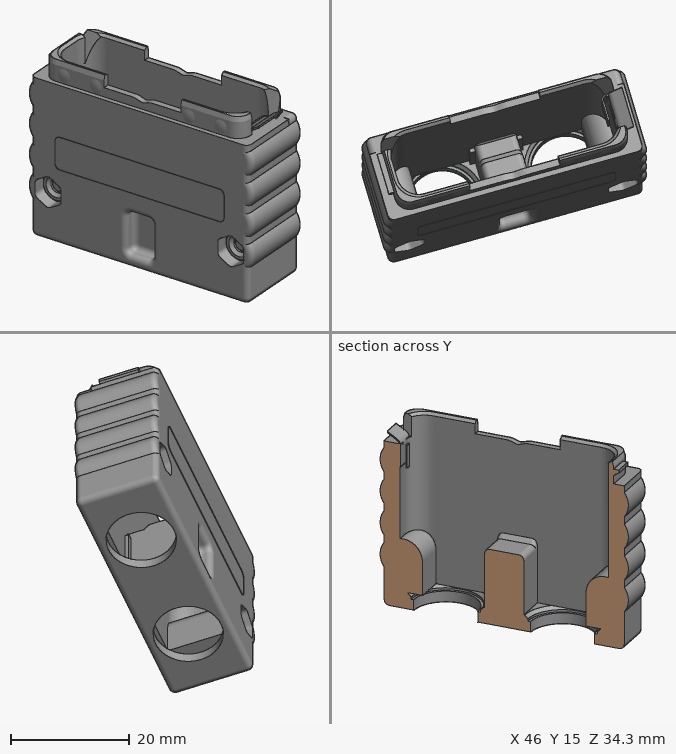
import cadquery as cq
import math

total_length = 46.02
body_length = 44.5
body_depth = 15.0
body_height = 30.25
total_height = 34.3
edge_radius = 1.05
back_rounding = 2.94

front_y = -body_depth / 2
back_y = body_depth / 2

rib_radius = 3.75
rib_count = 4
rib_pitch = 5.84
lowest_rib_z = 9.24

collar_length = 40.6
collar_depth = 13.2
collar_corner = 2.55
collar_chamfer_width = 0.28
collar_chamfer_height = 0.95
collar_low_z = 32.0
collar_low_half = 7.87
dip_half = 2.17
dip_depth = 0.47

cavity_length = 38.4
cavity_depth = 10.8
cavity_corner = 3.6
flare_width = 0.55
flare_height = 0.45
floor_z = 3.0

notch_front_y = 3.53
notch_apex_z = 28.9
window_front_y = -3.55

bump_radius = 1.27
bump_height = 0.19
bump_z = 31.72
bump_x = [-16.04, -9.49, 9.49, 16.04]

ledge_reach = 0.93
ledge_top_z = 32.97
ledge_edge_z = 32.37
ledge_bottom_z = 31.75
ledge_root = 0.5
leaf_thickness = 0.3
leaf_inner_x = 19.1
leaf_tip_x = 21.63
leaf_tip_z = 32.15
leaf_slope = 31.0
leaf_bottom_z = 26.0
leaf_bend_radius = 1.2
return_x = 17.9
return_front_y = -0.9
return_top_z = 30.2
return_bend_radius = 0.5

cable_radius = 5.9
cable_x = 10.8
cable_seat_radius = 6.4
cable_seat_depth = 1.0
cable_lead_in = 0.6
hump_half = 3.67
hump_rounding = 1.0
hump_back_z = 13.0
hump_front_z = 13.9
hump_slope_y = 1.67
hump_front_ramp = 0.8
hump_back_ramp = 0.3
hump_flange_half = 4.6
hump_flange_thickness = 0.7
hump_flange_z = 11.0

nut_x = 18.7
nut_z = lowest_rib_z
nut_flats = 5.3
nut_corner = 1.0
nut_pocket_depth = 2.8
nut_rim_height = 0.5
nut_rim_radius = 2.5
thread_mouth_radius = 2.0
thread_radius = 1.4
thread_mouth_depth = 0.6
screw_tip_radius = 1.0
screw_tip_height = 0.4
boss_radius = 3.6

label_length = 34.6
label_height = 6.2
label_corner = 1.0
label_z = 17.27
label_depth = 0.1

pocket_width = 5.4
pocket_low_z = 2.2
pocket_high_z = 10.35
pocket_depth = 2.5
pocket_floor_radius = 1.0
pocket_corner = 1.05
pocket_rim_radius = 1.04

big = 100.0
near = 0.05
overlap = 1.0


def box(x0, x1, y0, y1, z0, z1):
    """Axis-aligned box between two opposite corners."""
    size = (x1 - x0, y1 - y0, z1 - z0)
    return cq.Workplane("XY").box(*size, centered=False).translate((x0, y0, z0))


def front_plane(x, y, z):
    """Sketch plane facing -Y (plane x is +X, plane y is +Z) with its origin at a point."""
    return cq.Workplane(cq.Plane(origin=(x, y, z), xDir=(1, 0, 0), normal=(0, -1, 0)))


def cone_y(x, z, y0, radius0, y1, radius1):
    """Cone frustum about a Y axis, radius0 at y0 and radius1 at y1 (y1 above y0)."""
    cone = cq.Solid.makeCone(radius0, radius1, y1 - y0, cq.Vector(x, y0, z), cq.Vector(0, 1, 0))
    return cq.Workplane(cone)


def cylinder_y(x, z, y0, y1, radius):
    """Cylinder about a Y axis from y0 to y1."""
    tube = cq.Solid.makeCylinder(radius, y1 - y0, cq.Vector(x, y0, z), cq.Vector(0, 1, 0))
    return cq.Workplane(tube)


def make_body():
    """Rounded block with grip ribs; its top edges are rounded only towards the back."""
    half = body_length / 2
    block = box(-half, half, front_y, back_y, 0, body_height)
    rounded = block.edges().fillet(edge_radius)
    sharp_top = block.edges("|Z or <Z").fillet(edge_radius)
    sharp_top = sharp_top.cut(box(-big, big, back_y - back_rounding, big, -big, big))
    body = rounded.union(sharp_top)
    rib_root_x = half - edge_radius
    rib_x = total_length / 2 - rib_radius
    for i in range(rib_count):
        rib_z = lowest_rib_z + i * rib_pitch
        for side in (-1, 1):
            rib = cylinder_y(side * rib_x, rib_z, front_y, back_y, rib_radius)
            rib = rib.edges("%CIRCLE").fillet(edge_radius)
            body = body.union(rib.cut(box(-rib_root_x, rib_root_x, -big, big, -big, big)))
    return body


def make_collar():
    """Solid collar block with dome bumps on both long sides."""
    base = cq.Workplane("XY").workplane(offset=body_height - overlap)
    collar = base.rect(collar_length, collar_depth).extrude(total_height - body_height + overlap)
    collar = collar.edges("|Z").fillet(collar_corner)
    collar = collar.faces(">Z").chamfer(collar_chamfer_height, collar_chamfer_width)
    bump_sphere = (bump_radius**2 + bump_height**2) / (2 * bump_height)
    bump_center_y = collar_depth / 2 + bump_height - bump_sphere
    for x in bump_x:
        for side in (-1, 1):
            dome = cq.Workplane("XY").sphere(bump_sphere).translate((x, side * bump_center_y, bump_z))
            reach = sorted((side * collar_depth / 4, side * collar_depth))
            disc = cylinder_y(x, bump_z, reach[0], reach[1], bump_radius)
            collar = collar.union(dome.intersect(disc))
    return collar


def make_cavity():
    """Inner space, with a lead-in flare at the top of the collar."""
    base = cq.Workplane("XY").workplane(offset=floor_z)
    core = base.rect(cavity_length, cavity_depth).extrude(total_height - floor_z)
    core = core.edges("|Z").fillet(cavity_corner)
    flare_angle = math.degrees(math.atan2(flare_width, flare_height))
    flare = (
        cq.Workplane("XY")
        .workplane(offset=total_height - flare_height)
        .sketch()
        .rect(cavity_length, cavity_depth)
        .vertices()
        .fillet(cavity_corner)
        .finalize()
        .extrude(flare_height, taper=-flare_angle)
    )
    return core.union(flare)


def collar_middle_cut():
    """Lowered middle of both long collar sides, with a shallow smooth dip."""
    profile = (
        front_plane(0, big / 2, 0)
        .moveTo(-collar_low_half, total_height + overlap)
        .lineTo(-collar_low_half, collar_low_z)
        .lineTo(-dip_half, collar_low_z)
        .spline(
            [(0, collar_low_z - dip_depth), (dip_half, collar_low_z)],
            tangents=[(1, 0), (1, 0)],
            includeCurrent=True,
        )
        .lineTo(collar_low_half, collar_low_z)
        .lineTo(collar_low_half, total_height + overlap)
        .close()
    )
    return profile.extrude(big)


def collar_end_notches():
    """Slanted gap at the back of both ends, and the window for the spring leaf."""
    slant_top_y = cavity_depth / 2
    gap = (
        cq.Workplane("YZ")
        .polyline([
            (notch_front_y, notch_apex_z),
            (slant_top_y, total_height),
            (notch_front_y, total_height),
        ])
        .close()
        .extrude(collar_length / 2, both=True)
    )
    inner_x = cavity_length / 2 - cavity_corner
    gap = gap.cut(box(-inner_x, inner_x, -big, big, -big, big))
    window = box(inner_x, big, window_front_y, notch_front_y, body_height, big)
    return gap.union(window)


def make_ledge():
    """Small wedge-shaped ledge on the left collar end."""
    wall_x = -collar_length / 2
    profile = front_plane(0, notch_front_y, 0).polyline([
        (wall_x + ledge_root, ledge_top_z),
        (wall_x - ledge_reach, ledge_top_z),
        (wall_x - ledge_reach, ledge_edge_z),
        (wall_x, ledge_bottom_z),
        (wall_x + ledge_root, ledge_bottom_z),
    ]).close()
    return profile.extrude(notch_front_y - window_front_y)


def make_leaf():
    """Sheet spring on the right end wall, bent outwards over the window."""
    slope = math.radians(leaf_slope)
    run = leaf_tip_x - leaf_inner_x
    path_start_z = leaf_tip_z - run * math.tan(slope)
    rise = leaf_thickness / math.cos(slope)
    outer_x = leaf_inner_x + leaf_thickness
    under_z = path_start_z - rise + leaf_thickness * math.tan(slope)
    profile = front_plane(0, notch_front_y, 0).polyline([
        (leaf_inner_x, leaf_bottom_z),
        (leaf_inner_x, path_start_z),
        (leaf_tip_x, leaf_tip_z),
        (leaf_tip_x, leaf_tip_z - rise),
        (outer_x, under_z),
        (outer_x, leaf_bottom_z),
    ]).close()
    leaf = profile.extrude(notch_front_y - window_front_y)
    outer_bend_radius = leaf_bend_radius + leaf_thickness
    leaf = leaf.edges("|Y").edges(bend_edge(leaf_inner_x, path_start_z)).fillet(outer_bend_radius)
    leaf = leaf.edges("|Y").edges(bend_edge(outer_x, under_z)).fillet(leaf_bend_radius)
    return leaf.union(make_leaf_return())


def bend_edge(x, z):
    """Selector for the Y-parallel leaf edge at one bend corner."""
    return cq.selectors.BoxSelector((x - near, -big, z - near), (x + near, big, z + near))


def make_leaf_return():
    """Short plate folded back from the rear edge of the spring leaf."""
    outer = box(
        return_x,
        leaf_inner_x + leaf_thickness,
        return_front_y,
        notch_front_y,
        leaf_bottom_z,
        return_top_z,
    )
    outer = outer.edges("|Z and <X and >Y").fillet(return_bend_radius + leaf_thickness)
    inner = box(
        return_x + leaf_thickness,
        leaf_inner_x,
        return_front_y,
        notch_front_y - leaf_thickness,
        leaf_bottom_z,
        return_top_z,
    )
    return outer.cut(inner.edges("|Z and <X and >Y").fillet(return_bend_radius))


def make_hump():
    """Stepped hump between the cable holes, higher at the front."""
    back_wall_y = cavity_depth / 2
    front_wall_y = -back_wall_y
    step = hump_front_z - hump_back_z
    profile = (
        cq.Workplane("YZ")
        .workplane(offset=-hump_half)
        .polyline([
            (front_wall_y - overlap, floor_z),
            (front_wall_y - overlap, hump_front_z + hump_front_ramp + overlap),
            (front_wall_y + hump_front_ramp, hump_front_z),
            (hump_slope_y, hump_front_z),
            (hump_slope_y + step, hump_back_z),
            (back_wall_y - hump_back_ramp, hump_back_z),
            (back_wall_y + overlap, hump_back_z + hump_back_ramp + overlap),
            (back_wall_y + overlap, floor_z),
        ])
        .close()
        .extrude(2 * hump_half)
    )
    hump = profile.edges("(<X or >X) and (not |Z) and (not <Z)").fillet(hump_rounding)
    flange_y = back_wall_y - hump_flange_thickness
    flange = box(-hump_flange_half, hump_flange_half, flange_y, back_wall_y, floor_z, hump_flange_z)
    return hump.union(flange)


def make_boss(side):
    """Rounded shoulder inside the cavity that carries one nut."""
    y0, y1 = front_y + overlap, back_y - overlap
    boss = cylinder_y(side * nut_x, nut_z, y0, y1, boss_radius)
    x0, x1 = sorted((side * (nut_x - boss_radius), side * body_length / 2))
    boss = boss.union(box(x0, x1, y0, y1, floor_z, nut_z))
    limit = body_length / 2 - overlap
    return boss.intersect(box(-limit, limit, -big, big, -big, big))


def cable_hole(x):
    """Through hole in the floor with a seat and a lead-in above it."""
    hole = cq.Workplane("XY").center(x, 0).circle(cable_radius).extrude(floor_z)
    seat_z = floor_z - cable_seat_depth
    seat = cq.Workplane("XY").workplane(offset=seat_z).center(x, 0)
    hole = hole.union(seat.circle(cable_seat_radius).extrude(cable_seat_depth))
    mouth_z = floor_z - cable_lead_in
    mouth_radius = cable_seat_radius + cable_lead_in
    mouth = cq.Solid.makeCone(cable_seat_radius, mouth_radius, cable_lead_in, cq.Vector(x, 0, mouth_z))
    return hole.union(cq.Workplane(mouth))


def nut_pocket(side):
    """Hexagonal pocket with a chamfered nut and the screw tip at its bottom."""
    x = side * nut_x
    corner_radius = nut_flats / math.sqrt(3)
    pocket = (
        front_plane(x, front_y, nut_z)
        .transformed(rotate=(0, 0, 90))
        .polygon(6, 2 * corner_radius)
        .extrude(-nut_pocket_depth)
        .edges("|Y")
        .fillet(nut_corner)
    )
    floor_y = front_y + nut_pocket_depth
    face_y = floor_y - nut_rim_height
    pocket = pocket.cut(cone_y(x, nut_z, face_y, nut_rim_radius, floor_y, corner_radius))
    mouth_y = face_y + thread_mouth_depth
    tip_y = mouth_y + screw_tip_height
    mouth = cone_y(x, nut_z, face_y, thread_mouth_radius, mouth_y, thread_radius)
    bore = cylinder_y(x, nut_z, mouth_y, tip_y, thread_radius)
    tip = cone_y(x, nut_z, mouth_y, screw_tip_radius, tip_y, thread_radius)
    return pocket.union(mouth).union(bore.cut(tip))


def label_panel():
    """Shallow rounded panel in the front face."""
    panel = front_plane(0, front_y, label_z).rect(label_length, label_height).extrude(-label_depth)
    return panel.edges("|Y").fillet(label_corner)


def finger_pocket():
    """Blind pocket with rounded corners and a rounded floor."""
    height = pocket_high_z - pocket_low_z
    center_z = (pocket_high_z + pocket_low_z) / 2
    pocket = front_plane(0, front_y, center_z).rect(pocket_width, height).extrude(-pocket_depth)
    pocket = pocket.edges("|Y").fillet(pocket_corner)
    return pocket.faces(">Y").edges().fillet(pocket_floor_radius)


def round_pocket_rim(body):
    """Round the sharp rim of the finger pocket."""
    reach = pocket_width / 2 + near
    selector = cq.selectors.BoxSelector(
        (-reach, front_y - near, pocket_low_z - near),
        (reach, front_y + near, pocket_high_z + near),
    )
    return body.edges(selector).fillet(pocket_rim_radius)


shell = make_body().cut(finger_pocket())
shell = round_pocket_rim(shell)
shell = shell.union(make_collar()).cut(make_cavity())
shell = shell.cut(collar_middle_cut()).cut(collar_end_notches())

cavity_fill = make_hump().union(make_boss(-1)).union(make_boss(1))
cavity_fill = cavity_fill.intersect(make_cavity())
cavity_fill = cavity_fill.cut(finger_pocket())
result = shell.union(cavity_fill).union(make_ledge()).union(make_leaf())

for end in (-1, 1):
    result = result.cut(cable_hole(end * cable_x)).cut(nut_pocket(end))
result = result.cut(label_panel())